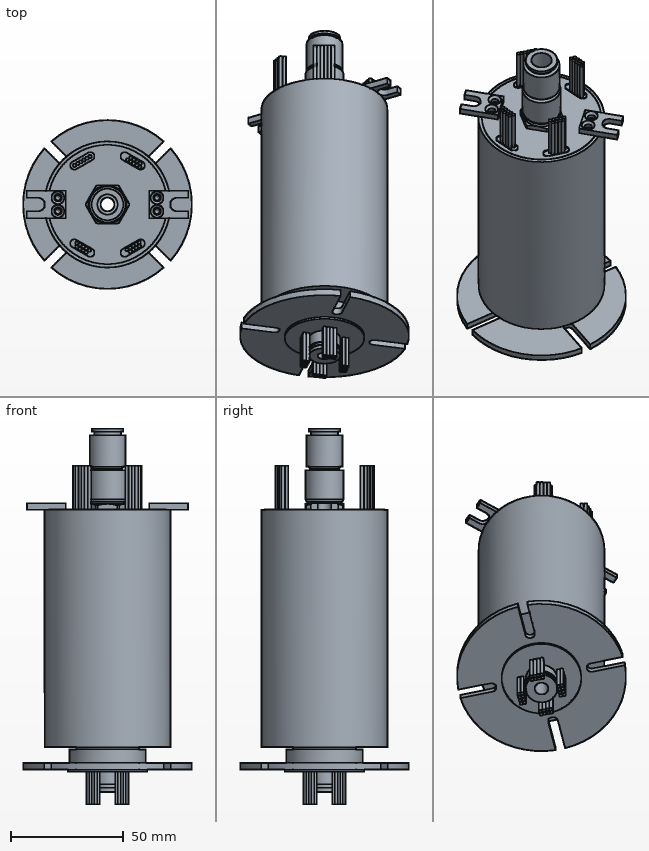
import cadquery as cq
import math

shaft_end_z = 5.3
hub_face_z = 14.3
flange_bottom_z = 15.3
flange_top_z = 18.3
collar_top_z = 24.3
housing_bottom_z = 25.3
housing_top_z = 130.5
upper_wire_end_z = 150.1
fitting_top_z = 166.4

passage_radius = 3.0

shaft_radius = 7.0
groove_radius = 6.5
groove_bottom_z = 7.3
groove_top_z = 8.8

pilot_radius = 17.6
flange_radius = 37.5
collar_radius = 17.0
neck_radius = 14.0
flange_slot_width = 4.3
flange_slot_inner_radius = 20.6

housing_radius = 28.0
cap_radius = 26.5
cap_rise = 0.2
cap_top_z = housing_top_z + cap_rise

plate_inner_x = 18.5
plate_outer_x = 35.8
plate_width = 12.0
plate_thickness = 3.0
fork_slot_width = 6.0
fork_slot_end_x = 27.8
screw_x = 22.0
screw_spacing = 6.0
screw_radius = 1.7
countersink_radius = 2.8
tapped_radius = 1.25
tapped_depth = 5.0

outlet_radius = 22.3
outlet_width = 3.7
outlet_length = 11.8
outlet_depth = 0.5
outlet_floor_z = cap_top_z - outlet_depth
wire_radius = 0.75
wire_pitch = 1.58
row_spacing = 1.5
outlet_bundles = {
    60: ((5, 4), -1.0),
    120: ((6,), 0.0),
    240: ((5, 4), 0.0),
    300: ((5, 4), 0.7),
}
hub_angles = (45, 135, 225, 315)
hub_wire_circle = 9.0
hub_wire_rows = (4, 4)

hex_across_flats = 17.0
hex_corner_radius = 9.57
hex_top_z = 133.1
hex_chamfer = 0.7
hex_chamfer_width = 1.2
body_radius = 8.5
body_bottom_z = 134.1
body_chamfer_top_z = 135.1
body_chamfer_radius = 8.0
body_neck_radius = 7.0
body_top_z = 148.1
joint_cone_z = 148.6
joint_radius = 6.3
joint_cone_radius = 7.0
sleeve_radius = 8.0
sleeve_bottom_z = 149.6
sleeve_top_z = 163.5
release_neck_radius = 6.0
release_rim_z = 165.0
release_rim_radius = 7.0
tube_bore_radius = 4.5


def disc(radius, bottom_z, top_z):
    """Round disc about the Z axis."""
    return cq.Workplane("XY").workplane(offset=bottom_z).circle(radius).extrude(top_z - bottom_z)


def cone(bottom_radius, top_radius, bottom_z, top_z):
    """Cone frustum about the Z axis."""
    base = cq.Vector(0, 0, bottom_z)
    return cq.Workplane(cq.Solid.makeCone(bottom_radius, top_radius, top_z - bottom_z, base))


def turned(body, angle):
    """Copy of a body turned about the Z axis."""
    return body.rotate((0, 0, 0), (0, 0, 1), angle)


def wire_row(count, radius, start_z, end_z, shift):
    """Row of wires on the +X side, along Y, moved sideways by the shift."""
    first = shift - wire_pitch * (count - 1) / 2
    centers = [(radius, first + wire_pitch * i) for i in range(count)]
    row = cq.Workplane("XY").workplane(offset=start_z).pushPoints(centers)
    return row.circle(wire_radius).extrude(end_z - start_z)


def wire_bundle(row_counts, bundle_radius, start_z, end_z, shift=0.0):
    """Rows of wires, one behind the other, round a point on the +X side."""
    middle_row = (len(row_counts) - 1) / 2
    bundle = cq.Workplane("XY")
    for i, count in enumerate(row_counts):
        radius = bundle_radius + row_spacing * (i - middle_row)
        bundle = bundle.add(wire_row(count, radius, start_z, end_z, shift))
    return bundle.combine()




def make_hub():
    """Pilot, slotted flange, collar and neck below the housing."""
    hub = disc(pilot_radius, hub_face_z, flange_bottom_z)
    hub = hub.union(disc(flange_radius, flange_bottom_z, flange_top_z))
    hub = hub.union(disc(collar_radius, flange_top_z, collar_top_z))
    hub = hub.union(disc(neck_radius, collar_top_z, housing_bottom_z))

    slot = (
        cq.Workplane("XY")
        .workplane(offset=flange_bottom_z)
        .center(flange_radius, 0)
        .slot2D(2 * (flange_radius - flange_slot_inner_radius), flange_slot_width)
        .extrude(flange_top_z - flange_bottom_z)
    )
    wires = wire_bundle(hub_wire_rows, hub_wire_circle, 0, hub_face_z)
    for angle in hub_angles:
        hub = hub.cut(turned(slot, angle))
        hub = hub.union(turned(wires, angle))
    return hub


def make_fork_plate():
    """Plate on the +X side with a fork slot at its outer end."""
    slot_radius = fork_slot_width / 2
    return (
        cq.Workplane("XY")
        .workplane(offset=housing_top_z)
        .moveTo(plate_inner_x, -plate_width / 2)
        .lineTo(plate_outer_x, -plate_width / 2)
        .lineTo(plate_outer_x, -slot_radius)
        .lineTo(fork_slot_end_x + slot_radius, -slot_radius)
        .threePointArc((fork_slot_end_x, 0), (fork_slot_end_x + slot_radius, slot_radius))
        .lineTo(plate_outer_x, slot_radius)
        .lineTo(plate_outer_x, plate_width / 2)
        .lineTo(plate_inner_x, plate_width / 2)
        .close()
        .extrude(plate_thickness)
    )


def make_screw_hole():
    """Countersunk hole on the Z axis, stepping down to a pointed tapped hole in the cap."""
    plate_top_z = housing_top_z + plate_thickness
    countersink_bottom_z = plate_top_z - (countersink_radius - screw_radius)
    tapped_bottom_z = housing_top_z - tapped_depth
    hole = cone(screw_radius, countersink_radius, countersink_bottom_z, plate_top_z)
    hole = hole.union(disc(screw_radius, housing_top_z, countersink_bottom_z))
    hole = hole.union(disc(tapped_radius, tapped_bottom_z, housing_top_z))
    return hole.union(cone(0, tapped_radius, tapped_bottom_z - tapped_radius, tapped_bottom_z))


def make_outlet():
    """Shallow rounded recess on the +X side of the cap, along Y."""
    return (
        cq.Workplane("XY")
        .workplane(offset=outlet_floor_z)
        .center(outlet_radius, 0)
        .slot2D(outlet_length, outlet_width, 90)
        .extrude(cap_top_z - outlet_floor_z)
    )


def make_slip_ring():
    """Housing, end cap, flange hub, fork plates and wires, with a bore for the shaft."""
    slip_ring = make_hub()
    slip_ring = slip_ring.union(disc(housing_radius, housing_bottom_z, housing_top_z))
    slip_ring = slip_ring.union(disc(cap_radius, housing_top_z, cap_top_z))

    plate = make_fork_plate()
    screw_hole = make_screw_hole()
    for angle in (0, 180):
        slip_ring = slip_ring.union(turned(plate, angle))
    for x in (-screw_x, screw_x):
        for y in (-screw_spacing / 2, screw_spacing / 2):
            slip_ring = slip_ring.cut(screw_hole.translate((x, y, 0)))

    outlet = make_outlet()
    for angle, (row_counts, shift) in outlet_bundles.items():
        slip_ring = slip_ring.cut(turned(outlet, angle))
        wires = wire_bundle(row_counts, outlet_radius, outlet_floor_z, upper_wire_end_z, shift)
        slip_ring = slip_ring.union(turned(wires, angle))
    return slip_ring.cut(disc(shaft_radius, hub_face_z, cap_top_z))




def make_shaft():
    """Hollow shaft that fills the slip ring's bore and stands out below it."""
    shaft = disc(shaft_radius, shaft_end_z, groove_bottom_z)
    shaft = shaft.union(disc(groove_radius, groove_bottom_z, groove_top_z))
    shaft = shaft.union(disc(shaft_radius, groove_top_z, cap_top_z))
    return shaft.cut(disc(passage_radius, shaft_end_z, cap_top_z))




def make_hex():
    """Hexagon with trimmed corners and a cone chamfer round its top."""
    hexagon_diameter = hex_across_flats / math.cos(math.radians(30))
    hexagon = (
        cq.Workplane("XY")
        .workplane(offset=cap_top_z)
        .polygon(6, hexagon_diameter)
        .extrude(hex_top_z - cap_top_z)
    )
    trim = disc(hex_corner_radius, cap_top_z, hex_top_z)
    trim = trim.faces(">Z").chamfer(hex_chamfer, hex_chamfer_width)
    return hexagon.intersect(trim)


def make_fitting():
    """Push-in tube fitting: hexagon, body, sleeve and release ring, stacked upwards."""
    fitting = make_hex()
    fitting = fitting.union(cone(body_neck_radius, body_chamfer_radius, hex_top_z, body_bottom_z))
    fitting = fitting.union(cone(body_chamfer_radius, body_radius, body_bottom_z, body_chamfer_top_z))
    fitting = fitting.union(disc(body_radius, body_chamfer_top_z, body_top_z))
    fitting = fitting.union(disc(joint_radius, body_top_z, joint_cone_z))
    fitting = fitting.union(cone(joint_radius, joint_cone_radius, joint_cone_z, sleeve_bottom_z))
    fitting = fitting.union(disc(sleeve_radius, sleeve_bottom_z, sleeve_top_z))
    fitting = fitting.union(disc(release_neck_radius, sleeve_top_z, release_rim_z))
    fitting = fitting.union(disc(release_rim_radius, release_rim_z, fitting_top_z))
    fitting = fitting.cut(disc(tube_bore_radius, body_top_z, fitting_top_z))
    return fitting.cut(disc(passage_radius, cap_top_z, body_top_z))


slip_ring = make_slip_ring()
shaft = make_shaft()
fitting = make_fitting()

result = cq.Compound.makeCompound([slip_ring.val(), shaft.val(), fitting.val()])